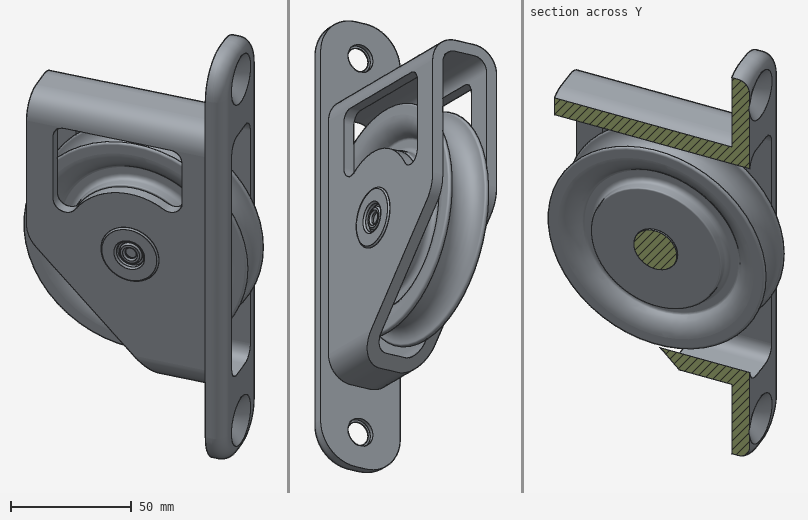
import cadquery as cq
import math


PLATE_HEIGHT = 198.0
PLATE_WIDTH = 39.0
PLATE_CORNER = 17.0
PLATE_BACK_X = 34.8
PLATE_THICKNESS = 8.3
PLATE_EDGE_ROUND = 5.3
FRAME_CENTER_Z = 2.8

SCREW_HOLE_OFFSET = 83.2
SCREW_HOLE_DIAMETER = 10.0
SCREW_RECESS_DIAMETER = 12.0
SCREW_RECESS_DEPTH = 2.0
SCREW_HEAD_DIAMETER = 22.0
SCREW_HEAD_SLOPE = 45

BRACKET_HEIGHT = 126.1
BRACKET_WIDTH = 31.3
BRACKET_CORNER = 11.0
BRACKET_WALL = 5.0
BRACKET_LEFT_X = -46.0
BEVEL_CORNER_Z = -1.5
BEVEL_ROUND = 15.0

WINDOW_LEFT_X = -34.0
WINDOW_RIGHT_X = 23.0
WINDOW_ROUND = 5.3
WINDOW_TOP_ROUND = 5.0
HUB_COVER_RADIUS = 29.3

WHEEL_DIAMETER = 99.2
WHEEL_HALF_WIDTH = 9.9
GROOVE_RADIUS = 8.0
RIM_ROUND = 1.0
RIM_ARC_CENTER_R = 44.5
WEB_HALF_WIDTH = 4.4
WEB_FILLET = 1.2
HUB_RADIUS = 29.7
HUB_FILLET = 2.2
HUB_ROUND = 0.5

AXLE_DIAMETER = 19.8
WASHER_DIAMETER = 25.7
WASHER_PROJECTION = 0.8
WASHER_CHAMFER = 0.7
BORE_DIAMETER = 12.0
BORE_DEPTH = 2.4
BORE_CHAMFER = 0.8
PIN_DIAMETER = 10.0
PIN_HEIGHT = 1.5
PIN_CHAMFER = 0.8
SOCKET_DIAMETER = 5.0
SOCKET_CHAMFER = 0.8

BRACKET_TOP_Z = FRAME_CENTER_Z + BRACKET_HEIGHT / 2
BRACKET_BOTTOM_Z = FRAME_CENTER_Z - BRACKET_HEIGHT / 2
PLATE_FRONT_X = PLATE_BACK_X + PLATE_THICKNESS
WHEEL_RADIUS = WHEEL_DIAMETER / 2


def x_bar(width, height, corner, start_x, end_x):
    """Bar along X with a rounded rectangular section, level with the face plate."""
    return (
        cq.Workplane("YZ", origin=(start_x, 0, FRAME_CENTER_Z))
        .rect(width, height)
        .extrude(end_x - start_x)
        .edges("|X")
        .fillet(corner)
    )


def y_cylinder(diameter, start_y, end_y):
    """Cylinder on the wheel axis."""
    return (
        cq.Workplane("XZ", origin=(0, start_y, 0))
        .circle(diameter / 2)
        .extrude(start_y - end_y)
    )


def face_plate():
    """Round-ended plate with two stepped screw holes, countersunk from +X."""
    plate = x_bar(PLATE_WIDTH, PLATE_HEIGHT, PLATE_CORNER, PLATE_BACK_X, PLATE_FRONT_X)
    plate = plate.faces(">X").edges().fillet(PLATE_EDGE_ROUND)
    hole_places = [(0, -SCREW_HOLE_OFFSET), (0, SCREW_HOLE_OFFSET)]
    back = cq.Workplane("YZ", origin=(PLATE_BACK_X, 0, FRAME_CENTER_Z)).pushPoints(hole_places)
    holes = back.circle(SCREW_HOLE_DIAMETER / 2).extrude(PLATE_THICKNESS)
    recesses = back.circle(SCREW_RECESS_DIAMETER / 2).extrude(SCREW_RECESS_DEPTH)
    head_seats = (
        cq.Workplane("YZ", origin=(PLATE_FRONT_X, 0, FRAME_CENTER_Z))
        .pushPoints(hole_places)
        .circle(SCREW_HEAD_DIAMETER / 2)
        .extrude(-(SCREW_HEAD_DIAMETER - SCREW_HOLE_DIAMETER) / 2, taper=SCREW_HEAD_SLOPE)
    )
    return plate.cut(holes).cut(recesses).cut(head_seats)


def bracket_side_shape():
    """Side outline of the bracket: a rectangle with its lower left corner cut at 45 degrees."""
    bevel_height = BEVEL_CORNER_Z - BRACKET_BOTTOM_Z
    return (
        cq.Workplane("XZ")
        .moveTo(BRACKET_LEFT_X, BRACKET_TOP_Z)
        .lineTo(PLATE_BACK_X, BRACKET_TOP_Z)
        .lineTo(PLATE_BACK_X, BRACKET_BOTTOM_Z)
        .lineTo(BRACKET_LEFT_X + bevel_height, BRACKET_BOTTOM_Z)
        .lineTo(BRACKET_LEFT_X, BEVEL_CORNER_Z)
        .close()
        .extrude(BRACKET_WIDTH / 2, both=True)
        .edges(cq.selectors.NearestToPointSelector((BRACKET_LEFT_X, 0, BEVEL_CORNER_Z)))
        .fillet(BEVEL_ROUND)
    )


def window():
    """Window through both cheeks, with an arc around the hub as its lower edge."""
    top_z = BRACKET_TOP_Z - BRACKET_CORNER
    lobe_reach = HUB_COVER_RADIUS + WINDOW_ROUND
    left_x = WINDOW_LEFT_X + WINDOW_ROUND
    left_z = math.sqrt(lobe_reach**2 - left_x**2)
    right_x = WINDOW_RIGHT_X - WINDOW_ROUND
    right_z = math.sqrt(lobe_reach**2 - right_x**2)
    touch = HUB_COVER_RADIUS / lobe_reach
    return (
        cq.Workplane("XZ")
        .moveTo(WINDOW_LEFT_X, top_z)
        .lineTo(WINDOW_LEFT_X, left_z)
        .threePointArc((left_x, left_z - WINDOW_ROUND), (left_x * touch, left_z * touch))
        .threePointArc((0, HUB_COVER_RADIUS), (right_x * touch, right_z * touch))
        .threePointArc((right_x, right_z - WINDOW_ROUND), (WINDOW_RIGHT_X, right_z))
        .lineTo(WINDOW_RIGHT_X, top_z)
        .close()
        .extrude(BRACKET_WIDTH, both=True)
        .edges("|Y and >Z")
        .fillet(WINDOW_TOP_ROUND)
    )


def bracket():
    """Solid bracket with its bevel and windows, before the hollow is cut."""
    tube = x_bar(BRACKET_WIDTH, BRACKET_HEIGHT, BRACKET_CORNER, BRACKET_LEFT_X, PLATE_BACK_X)
    return tube.intersect(bracket_side_shape()).cut(window())


def wheel_passage():
    """Hollow of the bracket, carried on through the face plate."""
    return x_bar(
        BRACKET_WIDTH - 2 * BRACKET_WALL,
        BRACKET_HEIGHT - 2 * BRACKET_WALL,
        BRACKET_CORNER - BRACKET_WALL,
        BRACKET_LEFT_X,
        PLATE_FRONT_X,
    )


def flank_hollow():
    """Ring turned away from the -Y flank of the wheel, between rim and hub."""
    web_r = RIM_ARC_CENTER_R - math.sqrt(WHEEL_HALF_WIDTH**2 - WEB_HALF_WIDTH**2)
    diagonal = math.sqrt(0.5)
    ring = (
        cq.Workplane("XY")
        .moveTo(RIM_ARC_CENTER_R, -WHEEL_HALF_WIDTH)
        .threePointArc(
            (RIM_ARC_CENTER_R - WHEEL_HALF_WIDTH * diagonal, -WHEEL_HALF_WIDTH * diagonal),
            (web_r, -WEB_HALF_WIDTH),
        )
        .lineTo(HUB_RADIUS, -WEB_HALF_WIDTH)
        .lineTo(HUB_RADIUS, -WHEEL_HALF_WIDTH)
        .close()
        .revolve(360, (0, 0, 0), (0, 1, 0))
    )
    hub_edge = cq.selectors.RadiusNthSelector(0)
    web_edge = cq.selectors.RadiusNthSelector(1)
    ring = ring.faces(">Y").edges(hub_edge).fillet(HUB_FILLET)
    return ring.faces(">Y").edges(web_edge).fillet(WEB_FILLET)


def wheel():
    """Disc with rounded rims, a rope groove around it and a hollow in each flank."""
    rim_start = WHEEL_RADIUS - RIM_ROUND
    rim_mid_y = (GROOVE_RADIUS + WHEEL_HALF_WIDTH) / 2
    disc = (
        cq.Workplane("XY")
        .moveTo(0, -WHEEL_HALF_WIDTH)
        .lineTo(rim_start, -WHEEL_HALF_WIDTH)
        .threePointArc((WHEEL_RADIUS, -rim_mid_y), (rim_start, -GROOVE_RADIUS))
        .threePointArc((rim_start - GROOVE_RADIUS, 0), (rim_start, GROOVE_RADIUS))
        .threePointArc((WHEEL_RADIUS, rim_mid_y), (rim_start, WHEEL_HALF_WIDTH))
        .lineTo(0, WHEEL_HALF_WIDTH)
        .close()
        .revolve(360, (0, 0, 0), (0, 1, 0))
    )
    hollow = flank_hollow()
    hollowed = disc.cut(hollow).cut(hollow.mirror("XZ"))
    hub_edge = cq.selectors.RadiusNthSelector(0)
    hollowed = hollowed.faces("<Y").edges(hub_edge).fillet(HUB_ROUND)
    return hollowed.faces(">Y").edges(hub_edge).fillet(HUB_ROUND)


def axle_end():
    """The -Y half of the axle with its washer and a socketed pin in its bore; also the bore."""
    outer_y = -BRACKET_WIDTH / 2 - WASHER_PROJECTION
    floor_y = outer_y + BORE_DEPTH
    washer = y_cylinder(WASHER_DIAMETER, -BRACKET_WIDTH / 2, outer_y)
    washer = washer.faces("<Y").edges().chamfer(WASHER_CHAMFER)
    bore = y_cylinder(BORE_DIAMETER, floor_y, outer_y)
    pin = y_cylinder(PIN_DIAMETER, floor_y, floor_y - PIN_HEIGHT)
    pin = pin.faces("<Y").edges().chamfer(PIN_CHAMFER)
    socket = y_cylinder(SOCKET_DIAMETER, floor_y, floor_y - PIN_HEIGHT)
    inner_edge = cq.selectors.RadiusNthSelector(0)
    pin = pin.cut(socket).faces("<Y").edges(inner_edge).chamfer(SOCKET_CHAMFER)
    axle = y_cylinder(AXLE_DIAMETER, 0, -BRACKET_WIDTH / 2)
    body = axle.union(washer).cut(bore)
    body = body.faces("<Y").edges(inner_edge).chamfer(BORE_CHAMFER)
    return body.union(pin), bore


end, end_bore = axle_end()
frame = face_plate().union(bracket()).cut(wheel_passage())
frame = frame.cut(end_bore).cut(end_bore.mirror("XZ"))
result = frame.union(wheel()).union(end).union(end.mirror("XZ"))